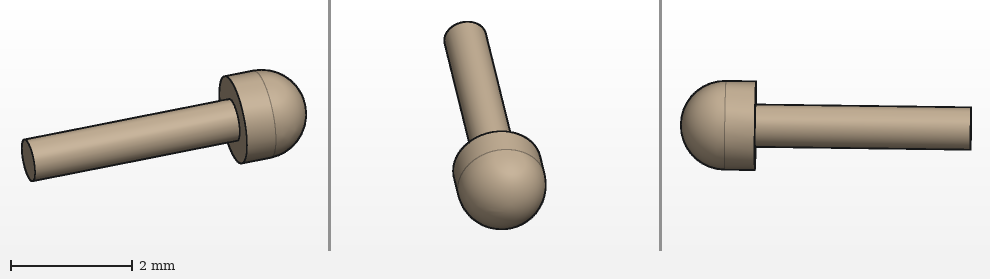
import cadquery as cq

total_length = 4.79
head_diameter = 1.47
head_band_length = 0.5
pin_diameter = 0.705

head_radius = head_diameter / 2
head_length = head_band_length + head_radius
pin_length = total_length - head_length
dome_mid = head_radius * 0.5 ** 0.5


def make_head():
    """Round head: a cylindrical band closed by a hemispherical dome, flat face at Y = 0."""
    return (
        cq.Workplane("XY")
        .lineTo(head_radius, 0)
        .lineTo(head_radius, head_band_length)
        .threePointArc((dome_mid, head_band_length + dome_mid), (0, head_length))
        .close()
        .revolve(360, (0, 0, 0), (0, 1, 0))
    )


def make_pin():
    """Plain pin that meets the flat face of the head and runs toward -Y."""
    return cq.Workplane("XZ").circle(pin_diameter / 2).extrude(pin_length)


head = make_head()
pin = make_pin()

result = cq.Compound.makeCompound([head.val(), pin.val()])